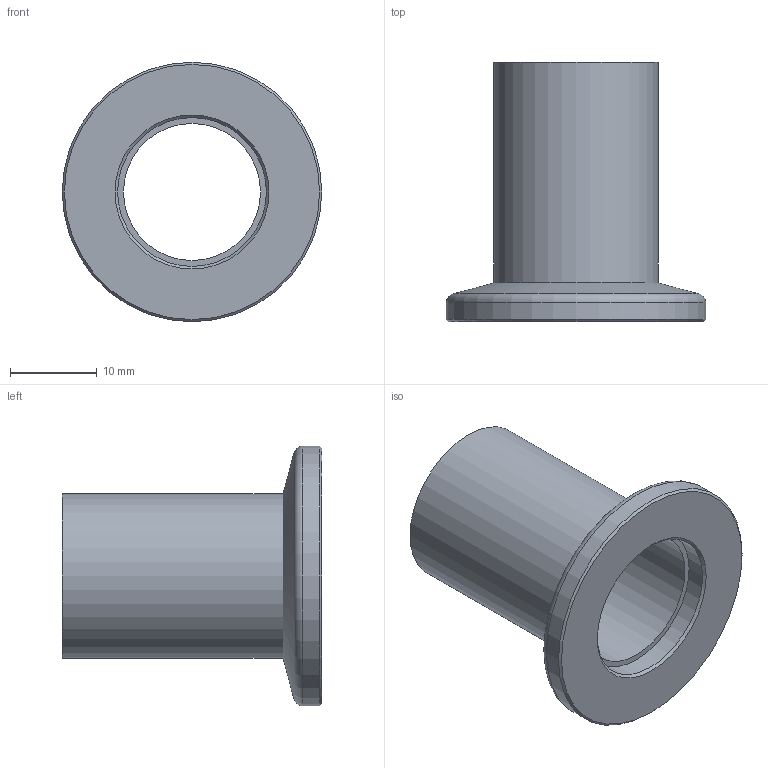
import cadquery as cq
import math

total_length = 30.0
flange_diameter = 30.0
tube_diameter = 19.05
tube_wall = 1.6
bore_diameter = tube_diameter - 2 * tube_wall

recess_diameter = 17.2
recess_depth = 2.5
recess_chamfer = 0.3

rim_chamfer = 0.25
rim_fillet = 1.0
cone_angle = 15.0
cone_sharp_edge_y = 3.0

flange_radius = flange_diameter / 2
tube_radius = tube_diameter / 2
bore_radius = bore_diameter / 2
recess_radius = recess_diameter / 2


def revolve_about_y(profile):
    """Turn a closed (radius, Y) profile a full circle about the Y axis."""
    return profile.close().revolve(360, (0, 0, 0), (0, 1, 0))


def make_body():
    """Solid flange and tube, with the rim blended into the cone by a tangent arc."""
    angle = math.radians(cone_angle)
    cone_end_y = cone_sharp_edge_y + (flange_radius - tube_radius) * math.tan(angle)

    turn = math.pi / 2 - angle
    tangent_length = rim_fillet * math.tan(turn / 2)
    center_r = flange_radius - rim_fillet
    center_y = cone_sharp_edge_y - tangent_length

    def arc_point(swept):
        return (center_r + rim_fillet * math.cos(swept), center_y + rim_fillet * math.sin(swept))

    profile = (
        cq.Workplane("XY")
        .moveTo(0, 0)
        .lineTo(flange_radius - rim_chamfer, 0)
        .lineTo(flange_radius, rim_chamfer)
        .lineTo(flange_radius, center_y)
        .threePointArc(arc_point(turn / 2), arc_point(turn))
        .lineTo(tube_radius, cone_end_y)
        .lineTo(tube_radius, total_length)
        .lineTo(0, total_length)
    )
    return revolve_about_y(profile)


def make_bore():
    """Through bore, widened at the sealing face by the chamfered recess."""
    profile = (
        cq.Workplane("XY")
        .moveTo(0, 0)
        .lineTo(recess_radius + recess_chamfer, 0)
        .lineTo(recess_radius, recess_chamfer)
        .lineTo(recess_radius, recess_depth)
        .lineTo(bore_radius, recess_depth)
        .lineTo(bore_radius, total_length)
        .lineTo(0, total_length)
    )
    return revolve_about_y(profile)


result = make_body().cut(make_bore())